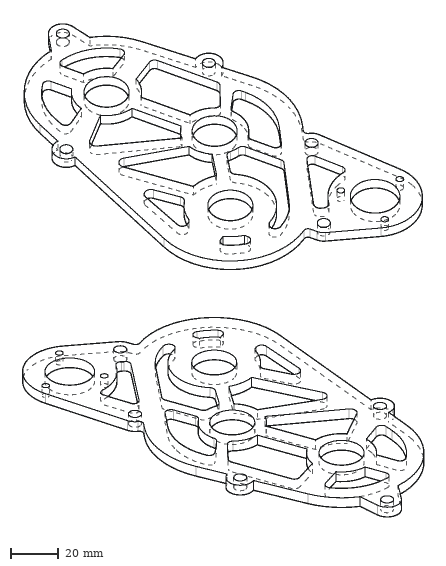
import cadquery as cq
import math

THICKNESS = 5.0

LEFT = (0.0, 0.0)
MIDDLE = (51.9, 0.0)
LOWER = (79.7, -38.0)
MOTOR = (131.0, -4.0)

SHAFT_BORE_D = 19.0
MOTOR_BORE_D = 21.0
MOTOR_SCREWS = 3
MOTOR_SCREW_D = 3.2
MOTOR_SCREW_CIRCLE_D = 30.0
MOTOR_SCREW_START = 74.0

LEFT_EAR = (-33.5, 23.5)
TOP_EAR = (29.5, 36.5)
BOTTOM_EAR = (2.0, -39.7)
UPPER_MOTOR_EAR = (91.5, 12.8)
LOWER_MOTOR_EAR = (119.8, -29.0)
EARS = [LEFT_EAR, TOP_EAR, BOTTOM_EAR, UPPER_MOTOR_EAR, LOWER_MOTOR_EAR]
EAR_R = 6.1
EAR_HOLE_D = 5.5
LEFT_EAR_ROOT_R = 20.0

LEFT_BODY_R = 34.9
MIDDLE_BODY_R = 37.4
LOWER_BODY_R = 34.9
MOTOR_BODY_R = 20.0
NOTCH_R = 2.0

LEFT_POCKET_R = 27.5
MIDDLE_POCKET_R = 27.5
LOWER_POCKET_R = 25.0
LEFT_RING_R = 14.9
MIDDLE_RING_R = 14.5
LOWER_RING_R = 19.6
MOTOR_RING_R = 20.0
POCKET_CORNER_R = 2.5
POCKET_TIP_R = 2.9
MOTOR_POCKET_CORNER_R = 2.3
MOTOR_POCKET_TIP_R = 2.7

LEFT_SPOKE_HALF = 5.3
CENTRE_SPOKE_HALF = 4.0
RIGHT_SPOKE_HALF = 2.7
DIAGONAL_SPOKE_HALF = 3.0

BEYOND_LEFT = -38.1
BEYOND_TOP = 30.5
BEYOND_RIGHT = 114.5
BEYOND_BOTTOM = -76.3


def disc(centre, radius):
    return cq.Workplane("XY").center(*centre).circle(radius).extrude(THICKNESS)


def prism(corners):
    return cq.Workplane("XY").polyline(corners).close().extrude(THICKNESS)


def polar(centre, radius, angle):
    """Point at an angle (radians) and radius from a centre."""
    return (centre[0] + radius * math.cos(angle), centre[1] + radius * math.sin(angle))


def link(first, first_r, second, second_r):
    """Two discs joined by their common outer tangents."""
    dx = second[0] - first[0]
    dy = second[1] - first[1]
    heading = math.atan2(dy, dx)
    spread = math.acos((first_r - second_r) / math.hypot(dx, dy))
    web = prism([
        polar(first, first_r, heading + spread),
        polar(second, second_r, heading + spread),
        polar(second, second_r, heading - spread),
        polar(first, first_r, heading - spread),
    ])
    return web.union(disc(first, first_r)).union(disc(second, second_r))


def three_disc_hull(left_r, middle_r, lower_r):
    """Tangent outline round the three shaft centres."""
    hull = prism([LEFT, MIDDLE, LOWER])
    hull = hull.union(link(LEFT, left_r, MIDDLE, middle_r))
    hull = hull.union(link(MIDDLE, middle_r, LOWER, lower_r))
    return hull.union(link(LOWER, lower_r, LEFT, left_r)).clean()


def round_corners(solid, corners, radius):
    """Round the upright edge nearest to each listed corner."""
    for x, y in corners:
        nearest = cq.selectors.NearestToPointSelector((x, y, THICKNESS / 2))
        solid = solid.edges("|Z").edges(nearest).fillet(radius)
    return solid


def along_diagonal(offset, y):
    """Point at height y on a line parallel to MIDDLE-LOWER, offset toward the motor."""
    dx = LOWER[0] - MIDDLE[0]
    dy = LOWER[1] - MIDDLE[1]
    length = math.hypot(dx, dy)
    x = MIDDLE[0] + (y - MIDDLE[1]) * dx / dy - offset * length / dy
    return (x, y)


def make_plate():
    """Solid outline with its ears; the joins to the motor mount are rounded."""
    plate = three_disc_hull(LEFT_BODY_R, MIDDLE_BODY_R, LOWER_BODY_R)
    plate = plate.union(link(UPPER_MOTOR_EAR, EAR_R, MOTOR, MOTOR_BODY_R))
    plate = plate.union(link(LOWER_MOTOR_EAR, EAR_R, MOTOR, MOTOR_BODY_R))
    lower_ear_base = LOWER_MOTOR_EAR[1] - EAR_R
    motor_web = prism([
        MIDDLE,
        UPPER_MOTOR_EAR,
        MOTOR,
        LOWER_MOTOR_EAR,
        (LOWER_MOTOR_EAR[0], lower_ear_base),
        (LOWER[0], lower_ear_base),
    ])
    plate = plate.union(motor_web).clean()
    upper_notch = (85.5, 17.5)
    lower_notch = (LOWER[0] + LOWER_BODY_R, lower_ear_base)
    plate = round_corners(plate, [upper_notch, lower_notch], NOTCH_R)
    plate = plate.union(link(LEFT_EAR, EAR_R, LEFT, LEFT_EAR_ROOT_R))
    return plate.union(disc(TOP_EAR, EAR_R)).union(disc(BOTTOM_EAR, EAR_R))


ENVELOPE = three_disc_hull(LEFT_POCKET_R, MIDDLE_POCKET_R, LOWER_POCKET_R)
RINGS = disc(LEFT, LEFT_RING_R).union(disc(MIDDLE, MIDDLE_RING_R)).union(disc(LOWER, LOWER_RING_R))


def pocket(corners, rounded):
    """Polygon trimmed by the envelope and the bore rings.

    The listed points lie close to the trimmed corners to be rounded.
    """
    return round_corners(prism(corners).intersect(ENVELOPE).cut(RINGS), rounded, POCKET_CORNER_R)


def upper_left_pocket():
    edge_x = -4.5
    return pocket(
        [
            (edge_x, LEFT_SPOKE_HALF),
            (edge_x, BEYOND_TOP),
            (BEYOND_LEFT, BEYOND_TOP),
            (BEYOND_LEFT, LEFT_SPOKE_HALF),
        ],
        [(edge_x, 27.0), (-26.9, LEFT_SPOKE_HALF)],
    )


def lower_left_pocket():
    """Its right side leans toward the bottom ear."""
    spoke_edge_top = (-5.0, -LEFT_SPOKE_HALF)
    spoke_edge_bottom = (-3.8, -BEYOND_TOP)
    return pocket(
        [
            spoke_edge_top,
            spoke_edge_bottom,
            (BEYOND_LEFT, -BEYOND_TOP),
            (BEYOND_LEFT, -LEFT_SPOKE_HALF),
        ],
        [(-4.0, -27.0), (-26.9, -LEFT_SPOKE_HALF)],
    )


def top_pocket():
    left_x = 7.2
    slant_top = (38.0, BEYOND_TOP)
    slant_bottom = (52.8, CENTRE_SPOKE_HALF)
    slant_at_ring = (47.1, 13.7)
    return pocket(
        [
            (left_x, CENTRE_SPOKE_HALF),
            (left_x, BEYOND_TOP),
            slant_top,
            slant_bottom,
        ],
        [(left_x, MIDDLE_POCKET_R), (39.7, MIDDLE_POCKET_R), slant_at_ring],
    )


def top_right_pocket():
    slant_bottom = (56.6, RIGHT_SPOKE_HALF)
    slant_top = (45.2, BEYOND_TOP)
    return pocket(
        [
            slant_bottom,
            slant_top,
            (BEYOND_RIGHT, BEYOND_TOP),
            (BEYOND_RIGHT, RIGHT_SPOKE_HALF),
        ],
        [(46.5, 26.9), (51.7, 14.5), (66.2, RIGHT_SPOKE_HALF), (83.2, RIGHT_SPOKE_HALF)],
    )


def right_pocket():
    """Wide at the top, narrowing to a slot that curves round the lower bore."""
    slot_y = -39.5
    slot_mid_r = (LOWER_RING_R + LOWER_POCKET_R) / 2
    slot_half = (LOWER_POCKET_R - LOWER_RING_R) / 2
    body = pocket(
        [
            along_diagonal(DIAGONAL_SPOKE_HALF, -RIGHT_SPOKE_HALF),
            (BEYOND_RIGHT, -RIGHT_SPOKE_HALF),
            (BEYOND_RIGHT, slot_y),
            along_diagonal(DIAGONAL_SPOKE_HALF, slot_y),
        ],
        [(66.2, -RIGHT_SPOKE_HALF), (86.4, -RIGHT_SPOKE_HALF), (62.4, -9.7), (70.8, -20.6)],
    )
    return body.union(disc((LOWER[0] + slot_mid_r, slot_y), slot_half))


def tip_pocket(tip, first, second):
    """Triangle between two shaft rings and a rounded tip that stays clear of the rim."""
    return round_corners(prism([tip, first, second]).cut(RINGS), [tip], POCKET_TIP_R)


def lower_middle_pocket():
    tip = (19.8, -39.0)
    ring_side = along_diagonal(-DIAGONAL_SPOKE_HALF, -7.5)
    lower_side = along_diagonal(-DIAGONAL_SPOKE_HALF, -33.5)
    return tip_pocket(tip, ring_side, lower_side)


def centre_pocket():
    tip = (9.0, -34.3)
    top_left = (2.5, -CENTRE_SPOKE_HALF)
    top_right = (50.4, -CENTRE_SPOKE_HALF)
    return tip_pocket(tip, top_left, top_right)


def bottom_pocket():
    right_x = 69.2
    left_x = 28.6
    top_left = (left_x, -47.0)
    top_right = (right_x, -42.0)
    tip = (38.3, -45.8)
    body = pocket(
        [
            top_left,
            top_right,
            (right_x, BEYOND_BOTTOM),
            (left_x, BEYOND_BOTTOM),
        ],
        [(60.8, -43.0), (right_x, -54.5), (right_x, -60.5)],
    )
    return round_corners(body, [tip], POCKET_TIP_R)


def rim_slot():
    left_x = 86.2
    top_y = -51.7
    return pocket(
        [
            (left_x, top_y),
            (BEYOND_RIGHT, top_y),
            (BEYOND_RIGHT, BEYOND_BOTTOM),
            (left_x, BEYOND_BOTTOM),
        ],
        [(left_x, -62.0), (100.5, top_y)],
    )


def motor_pocket():
    """Triangular pocket whose right side follows the ring round the motor bore."""
    top_left = (92.3, 6.3)
    top_right = (122.0, 5.3)
    bottom_right = (118.2, -18.7)
    bottom_left = (112.0, -22.9)
    top_at_ring = (113.5, 5.7)
    bottom_at_ring = (116.7, -19.5)
    outline = prism([top_left, top_right, bottom_right, bottom_left])
    outline = outline.cut(disc(MOTOR, MOTOR_RING_R))
    outline = round_corners(outline, [top_left, top_at_ring], MOTOR_POCKET_CORNER_R)
    return round_corners(outline, [bottom_at_ring, bottom_left], MOTOR_POCKET_TIP_R)


def make_holes():
    holes = disc(MOTOR, MOTOR_BORE_D / 2)
    for centre in (LEFT, MIDDLE, LOWER):
        holes = holes.union(disc(centre, SHAFT_BORE_D / 2))
    for centre in EARS:
        holes = holes.union(disc(centre, EAR_HOLE_D / 2))
    for index in range(MOTOR_SCREWS):
        angle = math.radians(MOTOR_SCREW_START + index * 360 / MOTOR_SCREWS)
        centre = polar(MOTOR, MOTOR_SCREW_CIRCLE_D / 2, angle)
        holes = holes.union(disc(centre, MOTOR_SCREW_D / 2))
    return holes


POCKETS = [
    upper_left_pocket,
    lower_left_pocket,
    top_pocket,
    top_right_pocket,
    right_pocket,
    lower_middle_pocket,
    centre_pocket,
    bottom_pocket,
    rim_slot,
    motor_pocket,
]

result = make_plate().cut(make_holes())
for make_pocket in POCKETS:
    result = result.cut(make_pocket())